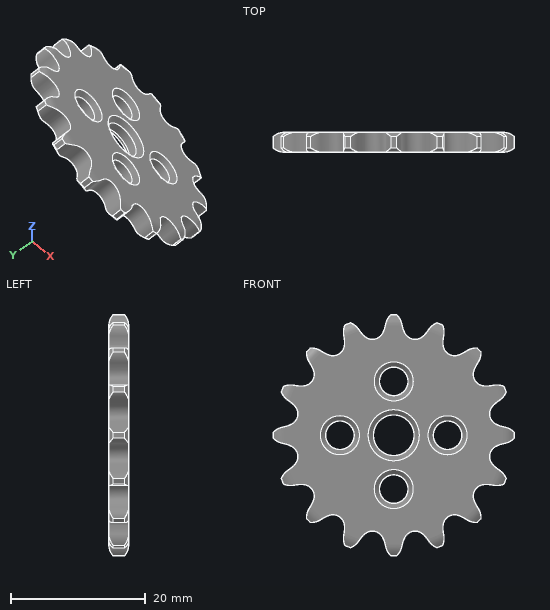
import cadquery as cq
import math


tooth_count = 16
chain_pitch = 6.35
roller_diameter = 3.302
outside_radius = 35.85 / 2
half_pitch_angle = math.pi / tooth_count
pitch_radius = chain_pitch / (2 * math.sin(half_pitch_angle))

thickness = 3.0
tip_width = 1.7

bore_diameter = 6.0
bolt_hole_diameter = 4.2
bolt_hole_count = 4
bolt_circle_radius = 8.0
hole_chamfer = 0.8

seating_ratio = 1.005
working_ratio = 0.8
topping_ratio = 1.4
seating_clearance = 0.0381
seating_radius = seating_ratio * roller_diameter / 2 + seating_clearance
seating_angle = math.radians(35 + 60 / tooth_count)
working_angle = math.radians(18 - 56 / tooth_count)
topping_angle = math.radians(17 - 64 / tooth_count)
working_offset = working_ratio * roller_diameter
working_radius = working_offset + seating_radius
topping_offset = topping_ratio * roller_diameter
topping_radius = (
    working_offset * math.cos(working_angle)
    + topping_offset * math.cos(topping_angle)
    - working_radius
)
flat_length = topping_offset * math.sin(topping_angle) - working_offset * math.sin(working_angle)


def polar(center, radius, angle):
    """Point at a distance and direction from a center."""
    return (center[0] + radius * math.cos(angle), center[1] + radius * math.sin(angle))


def mirror(point):
    """Matching point on the other side of the gap centerline."""
    return (-point[0], point[1])


def tooth_gap():
    """Cutter for the gap between two teeth, centered on the +Z direction."""
    roller_center = (0, pitch_radius)
    root = (0, pitch_radius - seating_radius)

    working_center = polar(roller_center, working_offset, math.pi - seating_angle)
    seat_end = polar(roller_center, seating_radius, -seating_angle)
    working_middle = polar(working_center, working_radius, -seating_angle + working_angle / 2)
    flat_direction = -seating_angle + working_angle
    working_end = polar(working_center, working_radius, flat_direction)
    flat_end = polar(working_end, flat_length, flat_direction + math.pi / 2)

    topping_center = polar(roller_center, topping_offset, -half_pitch_angle)
    center_distance = math.hypot(*topping_center)
    tip_cosine = (center_distance**2 + topping_radius**2 - outside_radius**2) / (
        2 * center_distance * topping_radius
    )
    inward_angle = math.atan2(-topping_center[1], -topping_center[0])
    tip_angle = inward_angle - math.acos(tip_cosine) + 2 * math.pi
    tip = polar(topping_center, topping_radius, tip_angle)
    start_angle = flat_direction + math.pi
    topping_middle = polar(topping_center, topping_radius, (start_angle + tip_angle) / 2)

    beyond_tip = (tip[0], outside_radius + chain_pitch)
    return (
        cq.Workplane("XZ")
        .moveTo(*mirror(seat_end))
        .threePointArc(root, seat_end)
        .threePointArc(working_middle, working_end)
        .lineTo(*flat_end)
        .threePointArc(topping_middle, tip)
        .lineTo(*beyond_tip)
        .lineTo(*mirror(beyond_tip))
        .lineTo(*mirror(tip))
        .threePointArc(mirror(topping_middle), mirror(flat_end))
        .lineTo(*mirror(working_end))
        .threePointArc(mirror(working_middle), mirror(seat_end))
        .close()
        .extrude(thickness, both=True)
    )


def blank():
    """Disc whose rim is rounded on both faces outside the pitch circle."""
    half_thickness = thickness / 2
    half_tip = tip_width / 2
    rounding_height = outside_radius - pitch_radius
    rounding_depth = half_thickness - half_tip
    rounding_radius = (rounding_height**2 + rounding_depth**2) / (2 * rounding_depth)
    half_sweep = math.asin(rounding_height / rounding_radius) / 2
    middle_radius = pitch_radius + rounding_radius * math.sin(half_sweep)
    middle_side = half_thickness - rounding_radius * (1 - math.cos(half_sweep))
    profile = (
        cq.Workplane("XY")
        .moveTo(0, -half_thickness)
        .lineTo(pitch_radius, -half_thickness)
        .threePointArc((middle_radius, -middle_side), (outside_radius, -half_tip))
        .lineTo(outside_radius, half_tip)
        .threePointArc((middle_radius, middle_side), (pitch_radius, half_thickness))
        .lineTo(0, half_thickness)
    )
    return revolved(profile)


def revolved(profile):
    """Closed profile turned about the Y axis."""
    return profile.close().revolve(360, (0, 0, 0), (0, 1, 0))


def chamfered_hole(diameter):
    """Cutter along Y for a through hole chamfered at both faces."""
    half_thickness = thickness / 2
    radius = diameter / 2
    mouth_radius = radius + hole_chamfer
    chamfer_start = half_thickness - hole_chamfer
    profile = [
        (0, -half_thickness),
        (mouth_radius, -half_thickness),
        (radius, -chamfer_start),
        (radius, chamfer_start),
        (mouth_radius, half_thickness),
        (0, half_thickness),
    ]
    return revolved(cq.Workplane("XY").polyline(profile))


def rotated(shape, angle):
    """Copy turned about the wheel axis, angle in degrees."""
    return shape.rotate((0, 0, 0), (0, 1, 0), angle)


sprocket = blank()

gap = tooth_gap()
tooth_angle = 360 / tooth_count
for index in range(tooth_count):
    sprocket = sprocket.cut(rotated(gap, (index + 0.5) * tooth_angle))

sprocket = sprocket.cut(chamfered_hole(bore_diameter))
bolt_hole = chamfered_hole(bolt_hole_diameter).translate((0, 0, bolt_circle_radius))
for index in range(bolt_hole_count):
    sprocket = sprocket.cut(rotated(bolt_hole, index * 360 / bolt_hole_count))

result = sprocket